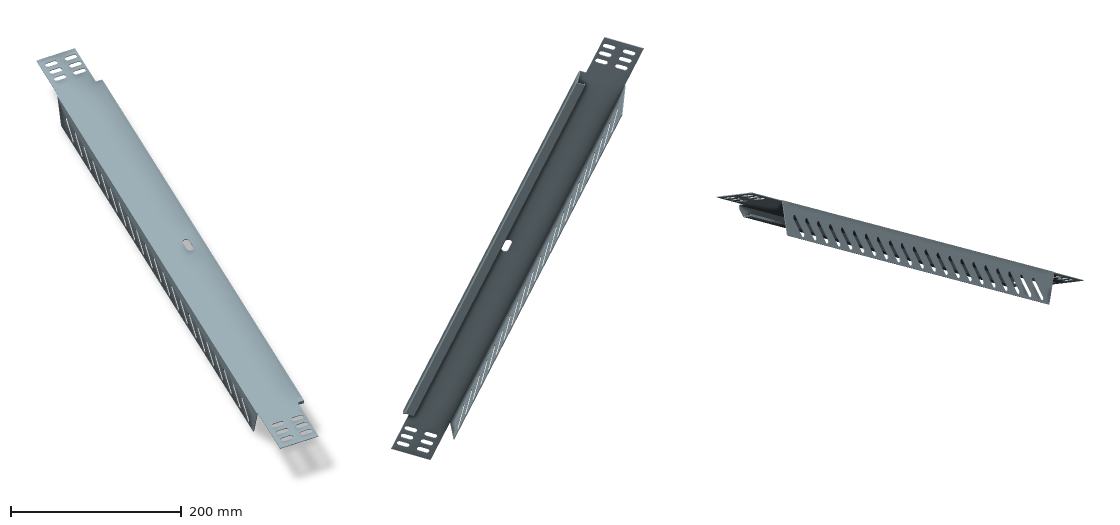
import cadquery as cq
import math

length = 695.0
depth = 59.0
height = 40.0
sheet = 1.0

body_half_length = 288.0
front_half_length = 285.0
tab_back_step = 8.0
tab_front_step = 1.5
tab_depth = depth - tab_back_step - tab_front_step

wall_end_angle = 15.0
wall_bottom_half_length = front_half_length - height * math.tan(math.radians(wall_end_angle))

flange_height = 13.0
lip_depth = 10.5
lip_upturn_height = 3.0
flange_end_straight = 5.0
lip_half_length = body_half_length - (flange_height - flange_end_straight)

wall_slot_count = 21
hole_pitch = 25.0
wall_slot_length = 31.0
wall_slot_width = 6.6
wall_slot_angle = -45.0
wall_slot_bottom_gap = 3.0
wall_slot_half_drop = (
    (wall_slot_length - wall_slot_width) / 2 * math.sin(math.radians(abs(wall_slot_angle)))
)
wall_slot_z = -height + wall_slot_bottom_gap + wall_slot_width / 2 + wall_slot_half_drop

tab_slot_columns = 3
tab_slot_length = 15.0
tab_slot_width = 6.0
tab_slot_pitch = hole_pitch / 2
tab_slot_end_distance = 12.0
tab_slot_y = 28.0

middle_slot_length = 19.5
middle_slot_width = 8.0
middle_slot_back_distance = 19.5


def make_strip(half_length, front_y, strip_depth, bottom_z, thickness=sheet):
    """Rectangular strip centred along X."""
    strip = cq.Workplane("XY", origin=(0, front_y, bottom_z))
    return strip.box(2 * half_length, strip_depth, thickness, centered=(True, False, False))


def make_top_plate():
    tabs = make_strip(length / 2, tab_front_step, tab_depth, -sheet)
    body = make_strip(front_half_length, 0, depth, -sheet)
    back_edge = make_strip(body_half_length, depth - tab_back_step, tab_back_step, -sheet)
    return tabs.union(body).union(back_edge)


def extrude_upright(outline, front_y):
    """Sheet standing in the XZ plane, its front face at front_y."""
    return cq.Workplane("XZ", origin=(0, front_y + sheet, 0)).polyline(outline).close().extrude(sheet)


def make_front_wall():
    outline = [
        (-front_half_length, 0),
        (front_half_length, 0),
        (wall_bottom_half_length, -height),
        (-wall_bottom_half_length, -height),
    ]
    return extrude_upright(outline, 0)


def make_back_flange():
    outline = [
        (-body_half_length, 0),
        (body_half_length, 0),
        (body_half_length, -flange_end_straight),
        (lip_half_length, -flange_height),
        (-lip_half_length, -flange_height),
        (-body_half_length, -flange_end_straight),
    ]
    lip_front_y = depth - lip_depth
    lip = make_strip(lip_half_length, lip_front_y, lip_depth, -flange_height)
    upturn = make_strip(lip_half_length, lip_front_y, sheet, -flange_height, lip_upturn_height)
    return extrude_upright(outline, depth - sheet).union(lip).union(upturn)


def make_wall_slots():
    return (
        cq.Workplane("XZ", origin=(0, sheet, wall_slot_z))
        .rarray(hole_pitch, 7, wall_slot_count, 1)
        .slot2D(wall_slot_length, wall_slot_width, wall_slot_angle)
        .extrude(sheet)
    )


def make_tab_slots(side):
    """Slots in one end tab; side is -1 for the left tab and 1 for the right."""
    group_x = length / 2 - tab_slot_end_distance - (tab_slot_columns - 1) / 2 * tab_slot_pitch
    return (
        cq.Workplane("XY", origin=(side * group_x, tab_slot_y, -sheet))
        .rarray(tab_slot_pitch, hole_pitch, tab_slot_columns, 2)
        .slot2D(tab_slot_length, tab_slot_width, 90)
        .extrude(sheet)
    )


def make_middle_slot():
    return (
        cq.Workplane("XY", origin=(0, depth - middle_slot_back_distance, -sheet))
        .slot2D(middle_slot_length, middle_slot_width)
        .extrude(sheet)
    )


result = make_top_plate().union(make_front_wall()).union(make_back_flange())
result = result.cut(make_wall_slots()).cut(make_middle_slot())
for tab_side in (-1, 1):
    result = result.cut(make_tab_slots(tab_side))